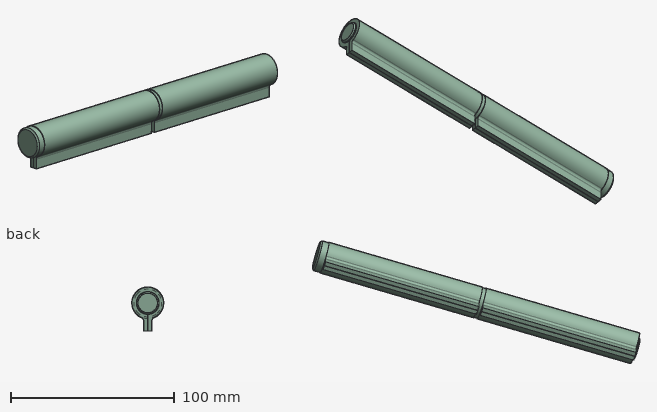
import cadquery as cq

knuckle_diameter = 19.7
bore_diameter = 14.0
knuckle_length = 98.0
leaf_bottom_z = -17.2
leaf_thickness = 5.1
seam_gap = 0.2
bend_radius = 2.0

washer_diameter = 19.0
washer_thickness = 2.5

total_length = 205.0
pin_diameter = 13.5
pin_tip_overhang = 1.5
pin_tip_chamfer = 0.8
head_diameter = 19.0
head_chamfer = 1.0
head_length = total_length - 2 * knuckle_length - washer_thickness - pin_tip_overhang

head_front_y = -total_length / 2
front_knuckle_y = head_front_y + head_length
washer_y = front_knuckle_y + knuckle_length
back_knuckle_y = washer_y + washer_thickness
shaft_length = total_length - head_length


def cylinder(diameter, start_y, length):
    """Solid cylinder on the Y axis that runs from start_y toward +Y."""
    plane = cq.Plane(origin=(0, start_y, 0), xDir=(1, 0, 0), normal=(0, 1, 0))
    return cq.Workplane(plane).circle(diameter / 2).extrude(length)


def slab(width, start_y, length):
    """Upright slab centred on X = 0, from the pin axis down to the leaf bottom."""
    height = -leaf_bottom_z
    block = cq.Workplane("XY").box(width, length, height, centered=(True, False, False))
    return block.translate((0, start_y, leaf_bottom_z))


def bend_edges(start_y):
    """Selector for the two inside corners where the knuckle meets the leaf."""
    knuckle_radius = knuckle_diameter / 2
    corner_zone = cq.selectors.BoxSelector(
        (-knuckle_radius, start_y, -knuckle_radius),
        (knuckle_radius, start_y + knuckle_length, -bore_diameter / 2),
    )
    return corner_zone & cq.selectors.ParallelDirSelector(cq.Vector(0, 1, 0))


def make_hinge_half(start_y):
    """Knuckle tube that bends into a folded leaf, bored for the pin and split along the seam."""
    half = cylinder(knuckle_diameter, start_y, knuckle_length)
    half = half.union(slab(leaf_thickness, start_y, knuckle_length))
    half = half.edges(bend_edges(start_y)).fillet(bend_radius)
    half = half.cut(cylinder(bore_diameter, start_y, knuckle_length))
    return half.cut(slab(seam_gap, start_y, knuckle_length))


def make_washer():
    """Flat ring that keeps the two knuckles apart."""
    ring = cylinder(washer_diameter, washer_y, washer_thickness)
    return ring.cut(cylinder(bore_diameter, washer_y, washer_thickness))


def make_pin():
    """Headed pin, chamfered at the head face and at the tip."""
    head = cylinder(head_diameter, head_front_y, head_length).faces("<Y").chamfer(head_chamfer)
    shaft = cylinder(pin_diameter, front_knuckle_y, shaft_length).faces(">Y").chamfer(pin_tip_chamfer)
    return head.union(shaft)


hinge_halves = [make_hinge_half(start_y) for start_y in (front_knuckle_y, back_knuckle_y)]
washer = make_washer()
pin = make_pin()

result = cq.Compound.makeCompound([*[half.val() for half in hinge_halves], washer.val(), pin.val()])